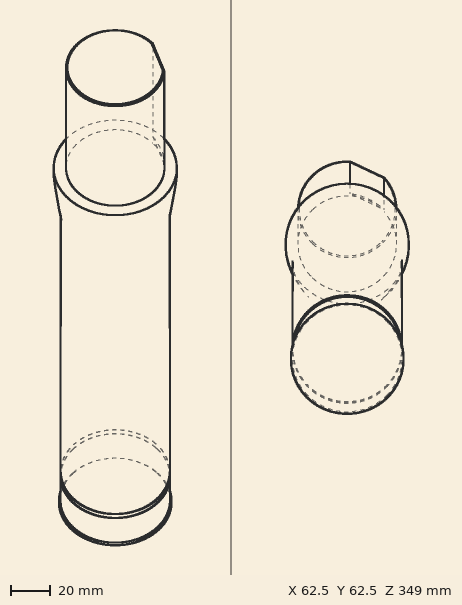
import cadquery as cq
import math

TOTAL_HEIGHT = 349.0
COLLAR_TOP = 269.0
COLLAR_BAND = 5.2
FLARE_BOTTOM = 233.0
GRIP_TOP = 227.5
GRIP_BOTTOM = 139.2
GROOVE_TOP = 27.0
GROOVE_BOTTOM = 23.7
RIM_FLARE_TOP = 4.2
RIM_HEIGHT = 3.0
DOME_HEIGHT = 1.0

SHAFT_DIAMETER = 50.0
COLLAR_DIAMETER = 62.5
BODY_DIAMETER = 55.5
GROOVE_DIAMETER = 55.0
RIM_DIAMETER = 57.2
DOME_DIAMETER = 50.3

GRIP_TAPER = 0.07
FLARE_BULGE = 0.5
SHAFT_CHAMFER = 0.7
FLAT_OFFSET = 23.0
FLAT_END = 274.3

COLLAR_RADIUS = COLLAR_DIAMETER / 2
BODY_RADIUS = BODY_DIAMETER / 2
GROOVE_RADIUS = GROOVE_DIAMETER / 2
NECK_RADIUS = BODY_RADIUS - GRIP_TAPER
SHAFT_RADIUS = SHAFT_DIAMETER / 2
RIM_RADIUS = RIM_DIAMETER / 2
DOME_RADIUS = DOME_DIAMETER / 2


def make_housing():
    """Revolved handle: domed foot, groove, slightly tapered grip and flared collar."""
    flare_top = COLLAR_TOP - COLLAR_BAND
    flare_middle = (
        (NECK_RADIUS + COLLAR_RADIUS) / 2 + FLARE_BULGE,
        (FLARE_BOTTOM + flare_top) / 2,
    )
    dome_radius = (DOME_RADIUS**2 + DOME_HEIGHT**2) / (2 * DOME_HEIGHT)
    dome_half_angle = math.asin(DOME_RADIUS / dome_radius) / 2
    dome_middle = (
        dome_radius * math.sin(dome_half_angle),
        dome_radius * (1 - math.cos(dome_half_angle)),
    )
    return (
        cq.Workplane("XZ")
        .moveTo(0, 0)
        .threePointArc(dome_middle, (DOME_RADIUS, DOME_HEIGHT))
        .tangentArcPoint((RIM_RADIUS, RIM_HEIGHT), relative=False)
        .lineTo(BODY_RADIUS, RIM_FLARE_TOP)
        .lineTo(BODY_RADIUS, GROOVE_BOTTOM)
        .lineTo(GROOVE_RADIUS, GROOVE_BOTTOM)
        .lineTo(GROOVE_RADIUS, GROOVE_TOP)
        .lineTo(BODY_RADIUS, GROOVE_TOP)
        .lineTo(BODY_RADIUS, GRIP_BOTTOM)
        .lineTo(NECK_RADIUS, GRIP_TOP)
        .lineTo(NECK_RADIUS, FLARE_BOTTOM)
        .threePointArc(flare_middle, (COLLAR_RADIUS, flare_top))
        .lineTo(COLLAR_RADIUS, COLLAR_TOP)
        .lineTo(0, COLLAR_TOP)
        .close()
        .revolve(360, (0, 0, 0), (0, 1, 0))
    )


def make_shaft():
    """Round shaft standing on the collar, with a long flat on its +Y side."""
    flat_depth = SHAFT_RADIUS - FLAT_OFFSET
    flat_cutter = (
        cq.Workplane("YZ")
        .moveTo(FLAT_OFFSET, TOTAL_HEIGHT)
        .lineTo(FLAT_OFFSET, FLAT_END)
        .lineTo(SHAFT_RADIUS, FLAT_END - flat_depth)
        .lineTo(SHAFT_RADIUS, TOTAL_HEIGHT)
        .close()
        .extrude(SHAFT_RADIUS, both=True)
    )
    return (
        cq.Workplane("XY", origin=(0, 0, COLLAR_TOP))
        .circle(SHAFT_RADIUS)
        .extrude(TOTAL_HEIGHT - COLLAR_TOP)
        .cut(flat_cutter)
        .faces(">Z")
        .chamfer(SHAFT_CHAMFER)
    )


housing = make_housing()
shaft = make_shaft()

result = cq.Compound.makeCompound([housing.val(), shaft.val()])